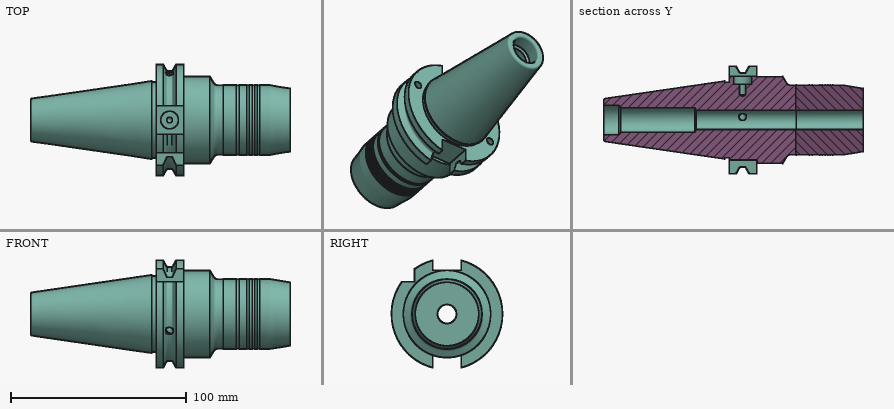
import cadquery as cq
import math


total_length = 148.4

taper_ratio = 7 / 24
gauge_x = 68.4
gauge_radius = 22.3
taper_end_x = 69.3
relief_radius = 21.8
tip_round = 1.3

flange_start_x = 71.7
flange_end_x = 87.5
flange_radius = 31.8
groove_middle_x = 79.4
groove_floor_radius = 28.0
groove_floor_width = 3.1
groove_wall_angle = 30.0
groove_round = 0.6

collar_radius = 25.0
collar_end_x = 102.4
shoulder_angle = 60.0
shoulder_round = 3.0
nose_radius = 19.9
holder_end_x = 110.0

sleeve_radius = 20.0
sleeve_cone_x = 136.7
sleeve_tip_radius = 18.1
band_radius = nose_radius
band_width = 1.5
band_pitch = 3.0
first_band_x = 117.5
band_steps = (0, 2, 3, 4)

pilot_radius = 8.3
pilot_depth = 8.6
mouth_round = 1.3
thread_radius = 7.0
thread_end_x = 52.0
through_radius = 5.3
countersink_angle = 45.0
drill_point_angle = 59.0

slot_width = 16.2
slot_top_z = 25.1
slot_bottom_z = -22.9
corner_notch_offset = 18.5

chip_radius = 5.0
chip_depth = 4.6
chip_pilot_radius = 1.6
chip_pilot_depth = 6.0

coolant_radius = 2.2
coolant_pitch_radius = 26.7
coolant_angle = 20.0
cross_hole_radius = 2.1


def taper_radius(x):
    return gauge_radius + (x - gauge_x) * taper_ratio / 2


def tan_deg(angle):
    return math.tan(math.radians(angle))


def revolve_about_x(profile):
    return profile.close().revolve(360, (0, 0, 0), (1, 0, 0))


def turned_blank():
    """The holder without its bore, from the tip of the taper to the start of the sleeve."""
    taper_angle = math.atan(taper_ratio / 2)
    tip_tangent = tip_round * math.tan(math.pi / 4 - taper_angle / 2)
    tip_x = tip_tangent * math.cos(taper_angle)

    shoulder_run = (collar_radius - nose_radius) / tan_deg(shoulder_angle)
    corner_x = collar_end_x + shoulder_run
    tangent = shoulder_round * tan_deg(shoulder_angle / 2)
    round_start_x = corner_x - tangent * math.cos(math.radians(shoulder_angle))
    round_start_radius = nose_radius + tangent * math.sin(math.radians(shoulder_angle))

    profile = (
        cq.Workplane("XZ")
        .lineTo(0, taper_radius(0) - tip_tangent)
        .radiusArc((tip_x, taper_radius(tip_x)), tip_round)
        .lineTo(taper_end_x, taper_radius(taper_end_x))
        .lineTo(taper_end_x, relief_radius)
        .lineTo(flange_start_x, relief_radius)
        .lineTo(flange_start_x, flange_radius)
        .lineTo(flange_end_x, flange_radius)
        .lineTo(flange_end_x, collar_radius)
        .lineTo(collar_end_x, collar_radius)
        .lineTo(round_start_x, round_start_radius)
        .radiusArc((corner_x + tangent, nose_radius), -shoulder_round)
        .lineTo(holder_end_x, nose_radius)
        .lineTo(holder_end_x, 0)
    )
    return revolve_about_x(profile)


def v_groove():
    """Ring that cuts the V groove into the flange, with rounded floor corners."""
    half_floor = groove_floor_width / 2
    half_opening = half_floor + (flange_radius - groove_floor_radius) * tan_deg(groove_wall_angle)
    profile = cq.Workplane("XZ").polyline(
        [
            (groove_middle_x - half_opening, flange_radius),
            (groove_middle_x - half_floor, groove_floor_radius),
            (groove_middle_x + half_floor, groove_floor_radius),
            (groove_middle_x + half_opening, flange_radius),
        ]
    )
    floor_edges = cq.selectors.RadiusNthSelector(0)
    return revolve_about_x(profile).edges("%CIRCLE").edges(floor_edges).fillet(groove_round)


def flange_box(y_min, y_max, z_min, z_max):
    width = flange_end_x - flange_start_x
    corner = (flange_start_x, y_min, z_min)
    return cq.Workplane("XY").box(width, y_max - y_min, z_max - z_min, centered=False).translate(corner)


def flange_notches():
    half = slot_width / 2
    upper_slot = flange_box(-half, half, slot_top_z, flange_radius)
    lower_slot = flange_box(-half, half, -flange_radius, slot_bottom_z)
    corner = flange_box(-flange_radius, -corner_notch_offset, corner_notch_offset, flange_radius)
    return upper_slot.union(lower_slot).union(corner)


def chip_pocket():
    """Flat pocket with a small drilled hole in its floor."""
    floor_z = slot_top_z - chip_depth
    pilot_z = floor_z - chip_pilot_depth
    point_z = pilot_z - chip_pilot_radius / tan_deg(drill_point_angle)
    profile = cq.Workplane("XZ").polyline(
        [
            (0, slot_top_z),
            (chip_radius, slot_top_z),
            (chip_radius, floor_z),
            (chip_pilot_radius, floor_z),
            (chip_pilot_radius, pilot_z),
            (0, point_z),
        ]
    )
    return profile.close().revolve(360, (0, 0, 0), (0, 1, 0)).translate((groove_middle_x, 0, 0))


def coolant_hole(turn):
    """Hole from the taper side of the flange into a radial hole from the groove floor to the bore."""
    axial = (
        cq.Workplane("YZ", origin=(flange_start_x, coolant_pitch_radius, 0))
        .circle(coolant_radius)
        .extrude(groove_middle_x - flange_start_x)
    )
    radial = cq.Workplane("XZ", origin=(groove_middle_x, 0, 0)).circle(cross_hole_radius).extrude(-flange_radius)
    return axial.union(radial).rotate((0, 0, 0), (1, 0, 0), turn)


def central_bore():
    """Everything removed along the axis, right through both bodies."""
    countersink_end_x = pilot_depth + (pilot_radius - thread_radius) / tan_deg(countersink_angle)
    thread_point_x = thread_end_x + (thread_radius - through_radius) / tan_deg(drill_point_angle)
    profile = (
        cq.Workplane("XZ")
        .lineTo(0, pilot_radius + mouth_round)
        .radiusArc((mouth_round, pilot_radius), -mouth_round)
        .lineTo(pilot_depth, pilot_radius)
        .lineTo(countersink_end_x, thread_radius)
        .lineTo(thread_end_x, thread_radius)
        .lineTo(thread_point_x, through_radius)
        .lineTo(total_length, through_radius)
        .lineTo(total_length, 0)
    )
    return revolve_about_x(profile)


def make_holder():
    holder = turned_blank().cut(v_groove()).cut(flange_notches()).cut(chip_pocket())
    for turn in (coolant_angle, coolant_angle + 180):
        holder = holder.cut(coolant_hole(turn))
    return holder.cut(central_bore())


def make_sleeve():
    profile = cq.Workplane("XZ").moveTo(holder_end_x, 0).lineTo(holder_end_x, sleeve_radius)
    for step in band_steps:
        band_start_x = first_band_x + step * band_pitch
        band_end_x = band_start_x + band_width
        profile = (
            profile.lineTo(band_start_x, sleeve_radius)
            .lineTo(band_start_x, band_radius)
            .lineTo(band_end_x, band_radius)
            .lineTo(band_end_x, sleeve_radius)
        )
    profile = (
        profile.lineTo(sleeve_cone_x, sleeve_radius)
        .lineTo(total_length, sleeve_tip_radius)
        .lineTo(total_length, 0)
    )
    return revolve_about_x(profile).cut(central_bore())


holder = make_holder()
sleeve = make_sleeve()

result = cq.Compound.makeCompound([holder.val(), sleeve.val()])